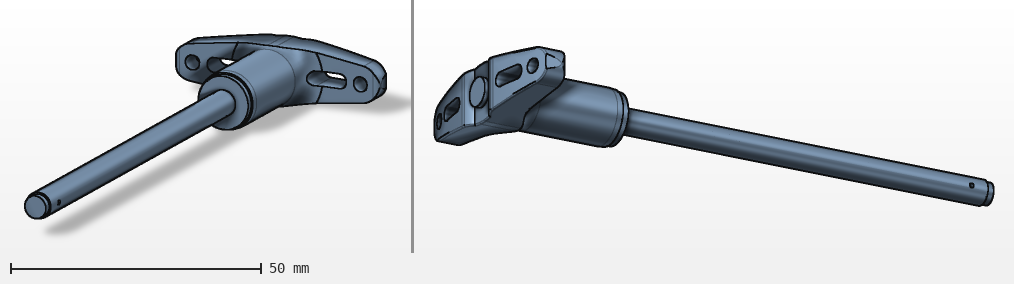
import cadquery as cq
import math


total_length = 117.6

handle_length = 45.2
handle_height = 12.6
nose_radius = 3.9
center_flat_half = 0.9
crown_peak_x = 6.2
crown_mid_x = 14.1
crown_mid_drop = 1.0
crown_end_drop = 2.9
end_lean = 0.4
end_lean_y = -6.2
end_corner_radius = 1.0
underside_end_y = -7.5
underside_center_y = -6.8
crown_edge_radius = 0.4

groove_floor_half = 2.8
groove_depth = 1.0
groove_shoulder_x = 4.2
groove_shoulder_drop = 0.2
button_radius = 3.0

opening_radius = 1.5
hole_x = 18.6
slot_inner_x = 7.2
slot_outer_x = 15.4

sleeve_radius = 6.0
sleeve_end_y = -31.6
flare_radius = 4.1
flare_start_y = -11.2
taper_length = 1.4
taper_end_radius = 5.9
collar_radius = 5.5
collar_length = 1.4

shaft_radius = 2.7
tip_radius = 2.4
tip_length = 1.5
cross_hole_radius = 0.5
cross_hole_from_tip = 5.3

half_length = handle_length / 2
half_height = handle_height / 2
head_depth = -flare_start_y


def cylinder(radius, start_y, end_y):
    """Cylinder on the pin axis running from start_y toward -Y."""
    return cq.Workplane("XZ", origin=(0, start_y, 0)).circle(radius).extrude(start_y - end_y)


def handle_outline():
    """Tapered, round-nosed outline in XZ, as deep as the head it trims."""
    nose_x = half_length - nose_radius
    flank_run = nose_x - center_flat_half
    corner_distance = math.hypot(flank_run, half_height)
    corner_angle = math.atan2(half_height, -flank_run)
    tangent_angle = corner_angle - math.acos(nose_radius / corner_distance)
    tangent_x = nose_x + nose_radius * math.cos(tangent_angle)
    tangent_z = nose_radius * math.sin(tangent_angle)
    return (
        cq.Workplane("XZ")
        .moveTo(-center_flat_half, half_height)
        .lineTo(center_flat_half, half_height)
        .lineTo(tangent_x, tangent_z)
        .threePointArc((half_length, 0), (tangent_x, -tangent_z))
        .lineTo(center_flat_half, -half_height)
        .lineTo(-center_flat_half, -half_height)
        .lineTo(-tangent_x, -tangent_z)
        .threePointArc((-half_length, 0), (-tangent_x, tangent_z))
        .close()
        .extrude(head_depth)
    )


def handle_bar():
    """Arched bar profile in XY with leaning ends, rounded lower corners and the back groove."""
    crown_end_x = half_length - end_lean
    shoulder_y = -groove_shoulder_drop
    return (
        cq.Workplane("XY", origin=(0, 0, -half_height))
        .moveTo(-groove_floor_half, -groove_depth)
        .lineTo(groove_floor_half, -groove_depth)
        .threePointArc((groove_shoulder_x, shoulder_y), (crown_peak_x, 0))
        .threePointArc((crown_mid_x, -crown_mid_drop), (crown_end_x, -crown_end_drop))
        .lineTo(half_length, end_lean_y)
        .lineTo(half_length, underside_end_y)
        .threePointArc((0, underside_center_y), (-half_length, underside_end_y))
        .lineTo(-half_length, end_lean_y)
        .lineTo(-crown_end_x, -crown_end_drop)
        .threePointArc((-crown_mid_x, -crown_mid_drop), (-crown_peak_x, 0))
        .threePointArc((-groove_shoulder_x, shoulder_y), (-groove_floor_half, -groove_depth))
        .close()
        .extrude(handle_height)
        .edges("|Z and <Y")
        .fillet(end_corner_radius)
    )


def sleeve_flare():
    """Concave flare that carries the round sleeve into the handle's underside."""
    rim_y = flare_start_y + flare_radius
    rim_radius = sleeve_radius + flare_radius
    mid_offset = flare_radius * math.sqrt(0.5)
    arc_middle = (rim_radius - mid_offset, flare_start_y + mid_offset)
    return (
        cq.Workplane("XY")
        .moveTo(0, flare_start_y)
        .lineTo(sleeve_radius, flare_start_y)
        .threePointArc(arc_middle, (rim_radius, rim_y))
        .lineTo(rim_radius, -crown_end_drop)
        .lineTo(0, -crown_end_drop)
        .close()
        .revolve(360, (0, 0, 0), (0, 1, 0))
    )


def round_crown_edges(head):
    """Round the long edges between the crown and the handle's upper and lower flanks."""
    for side in (-1, 1):
        edge_zone = cq.selectors.BoxSelector(
            (-half_length + end_lean, -crown_end_drop, side * nose_radius / 2),
            (half_length - end_lean, crown_edge_radius, side * handle_height),
        )
        head = head.edges(edge_zone).edges("not |Z").fillet(crown_edge_radius)
    return head


def handle_openings():
    """Round holes near the ends and slots beside the sleeve, all through the handle."""
    slot_length = slot_outer_x - slot_inner_x
    slot_x = (slot_outer_x + slot_inner_x) / 2
    holes = cq.Workplane("XZ").pushPoints([(-hole_x, 0), (hole_x, 0)]).circle(opening_radius)
    slots = cq.Workplane("XZ").pushPoints([(-slot_x, 0), (slot_x, 0)])
    slots = slots.slot2D(slot_length, 2 * opening_radius)
    return holes.extrude(head_depth).union(slots.extrude(head_depth))


def sleeve():
    """Round sleeve whose free end tapers slightly, then steps down to a short collar."""
    shoulder_y = sleeve_end_y + collar_length
    return (
        cq.Workplane("XY")
        .moveTo(0, flare_start_y)
        .lineTo(sleeve_radius, flare_start_y)
        .lineTo(sleeve_radius, shoulder_y + taper_length)
        .lineTo(taper_end_radius, shoulder_y)
        .lineTo(collar_radius, shoulder_y)
        .lineTo(collar_radius, sleeve_end_y)
        .lineTo(0, sleeve_end_y)
        .close()
        .revolve(360, (0, 0, 0), (0, 1, 0))
    )


def pin():
    """Shaft with a reduced tip and a small cross hole near its end."""
    shaft = cylinder(shaft_radius, flare_start_y, tip_length - total_length)
    tip = cylinder(tip_radius, flare_start_y, -total_length)
    cross_hole = (
        cq.Workplane("YZ", origin=(-shaft_radius, 0, 0))
        .center(cross_hole_from_tip - total_length, 0)
        .circle(cross_hole_radius)
        .extrude(2 * shaft_radius)
    )
    return shaft.union(tip).cut(cross_hole)


head = handle_bar().union(sleeve_flare()).intersect(handle_outline())
head = round_crown_edges(head).cut(handle_openings())
button = cylinder(button_radius, 0, flare_start_y)
result = head.union(button).union(sleeve()).union(pin())